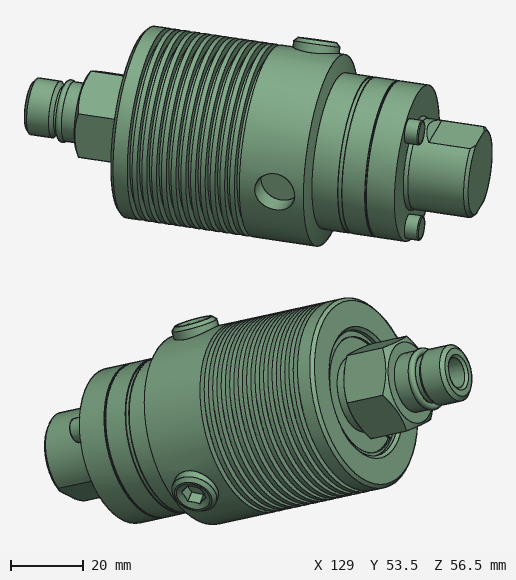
import cadquery as cq
import math


nose_tip_x = -30.5
nose_diameter = 15.84
nose_tip_diameter = 13.5
nose_tip_chamfer = 1.0
thread_end_x = -23.2
relief_start_x = -22.1
relief_diameter = 13.5
seal_center_x = -20.2
seal_center_radius = 7.73
seal_section_diameter = 2.0
collar_diameter = 16.65
hex_front_x = -14.8
hex_rear_x = -0.2
hex_across_flats = 24.0
hex_face_diameter = 22.8
hex_chamfer_angle = 30.0
shaft_diameter = 21.4
bore_diameter = 8.5
bore_mouth_diameter = 10.0

body_diameter = 53.45
body_end_x = 55.6
body_front_chamfer = 0.93
shoulder_length = 1.0
cover_diameter = 43.6
cover_end_x = 80.3
part_end_x = 98.47

first_groove_x = 5.0
groove_count = 12
groove_width = 1.4
groove_pitch = 2.0 * groove_width
groove_bottom_diameter = 48.3

wide_groove_x = 64.0
wide_groove_width = 1.15
seam_groove_x = 71.75
seam_groove_width = 0.4
cover_groove_depth = 0.3

recess_diameter = 35.27
recess_depth = 2.5
recess_chamfer = 0.87
ring_thickness = 0.6
ring_inner_radius = 16.3
ring_inner_offset = 1.0
lug_radius = 2.4
lug_hole_diameter = 2.0
lug_y = -14.77
lug_z = 6.0

port_x = 47.35
port_diameter = 11.45
port_depth = 6.2
port_spacing = 120.0
open_port_angle = 180.0
plug_diameter = 12.9
plug_face_diameter = 10.72
plug_face_radius = 29.53
plug_root_radius = 24.0
socket_across_flats = 6.0
socket_depth = 4.5
dish_mouth_diameter = 9.6
dish_floor_diameter = 6.0
dish_depth = 0.9

outlet_diameter = 25.4
outlet_end_chamfer = 1.0
outlet_root_diameter = 26.4
outlet_root_length = 1.15
outlet_across_flats = 22.0
flat_start_x = 85.6
flat_runout_length = 2.0

screw_count = 3
screw_head_diameter = 6.86
screw_head_height = 3.95
screw_head_chamfer = 0.3
screw_circle_radius = 17.55

cutter_margin = 1.0

cos30 = math.cos(math.radians(30))


def yz_plane(x):
    """Plane square to the axis at x, with local x along +Y and local y along +Z."""
    return cq.Workplane("YZ", origin=(x, 0, 0))


def x_cylinder(start, end, diameter):
    return yz_plane(start).circle(diameter / 2).extrude(end - start)


def ring_cutter(start, width, bottom_diameter, outer_diameter):
    """Square groove cutter that leaves bottom_diameter standing."""
    return (
        yz_plane(start)
        .circle(outer_diameter / 2 + cutter_margin)
        .circle(bottom_diameter / 2)
        .extrude(width)
    )


def make_nose():
    """Threaded nose with its relief, seal bulge and collar, up to the hexagon."""
    nose_r = nose_diameter / 2
    relief_r = relief_diameter / 2
    collar_r = collar_diameter / 2
    seal_r = seal_section_diameter / 2
    seal_start_x = seal_center_x - math.sqrt(seal_r**2 - (seal_center_radius - relief_r) ** 2)
    seal_end_x = seal_center_x + math.sqrt(seal_r**2 - (collar_r - seal_center_radius) ** 2)
    return (
        cq.Workplane("XY")
        .moveTo(nose_tip_x, 0)
        .lineTo(nose_tip_x, nose_tip_diameter / 2)
        .lineTo(nose_tip_x + nose_tip_chamfer, nose_r)
        .lineTo(thread_end_x, nose_r)
        .lineTo(relief_start_x, relief_r)
        .lineTo(seal_start_x, relief_r)
        .threePointArc((seal_center_x, seal_center_radius + seal_r), (seal_end_x, collar_r))
        .lineTo(hex_front_x, collar_r)
        .lineTo(hex_front_x, 0)
        .close()
        .revolve(360, (0, 0, 0), (1, 0, 0))
    )


def make_hexagon():
    """Hexagon with corners pointing along Z, turned down by a cone at both ends."""
    corner_diameter = hex_across_flats / cos30
    prism = (
        yz_plane(hex_front_x)
        .transformed(rotate=(0, 0, 90))
        .polygon(6, corner_diameter)
        .extrude(hex_rear_x - hex_front_x)
    )
    face_r = hex_face_diameter / 2
    outer_r = corner_diameter / 2 + cutter_margin
    cone_length = (outer_r - face_r) * math.tan(math.radians(hex_chamfer_angle))
    turned = (
        cq.Workplane("XY")
        .moveTo(hex_front_x, 0)
        .lineTo(hex_front_x, face_r)
        .lineTo(hex_front_x + cone_length, outer_r)
        .lineTo(hex_rear_x - cone_length, outer_r)
        .lineTo(hex_rear_x, face_r)
        .lineTo(hex_rear_x, 0)
        .close()
        .revolve(360, (0, 0, 0), (1, 0, 0))
    )
    return prism.intersect(turned)


def make_rotor():
    shaft = x_cylinder(hex_rear_x, recess_depth, shaft_diameter)
    bore = x_cylinder(nose_tip_x, recess_depth, bore_diameter)
    mouth_depth = (bore_mouth_diameter - bore_diameter) / 2
    mouth = (
        yz_plane(nose_tip_x)
        .circle(bore_mouth_diameter / 2)
        .workplane(offset=mouth_depth)
        .circle(bore_diameter / 2)
        .loft()
    )
    return make_nose().union(make_hexagon()).union(shaft).cut(bore).cut(mouth)


def make_housing_blank():
    """Turned outline of body, cover and outlet."""
    body_r = body_diameter / 2
    cover_r = cover_diameter / 2
    outlet_r = outlet_diameter / 2
    return (
        cq.Workplane("XY")
        .lineTo(0, body_r - body_front_chamfer)
        .lineTo(body_front_chamfer, body_r)
        .lineTo(body_end_x, body_r)
        .lineTo(body_end_x + shoulder_length, cover_r)
        .lineTo(cover_end_x, cover_r)
        .lineTo(cover_end_x, outlet_root_diameter / 2)
        .lineTo(cover_end_x + outlet_root_length, outlet_r)
        .lineTo(part_end_x - outlet_end_chamfer, outlet_r)
        .lineTo(part_end_x, outlet_r - outlet_end_chamfer)
        .lineTo(part_end_x, 0)
        .close()
        .revolve(360, (0, 0, 0), (1, 0, 0))
    )


def cut_grooves(housing):
    for index in range(groove_count):
        start = first_groove_x + index * groove_pitch
        housing = housing.cut(ring_cutter(start, groove_width, groove_bottom_diameter, body_diameter))
    cover_groove_bottom = cover_diameter - 2 * cover_groove_depth
    for start, width in ((wide_groove_x, wide_groove_width), (seam_groove_x, seam_groove_width)):
        housing = housing.cut(ring_cutter(start, width, cover_groove_bottom, cover_diameter))
    return housing


def make_recess_cutter():
    recess_r = recess_diameter / 2
    return (
        cq.Workplane("XY")
        .lineTo(0, recess_r + recess_chamfer)
        .lineTo(recess_chamfer, recess_r)
        .lineTo(recess_depth, recess_r)
        .lineTo(recess_depth, 0)
        .close()
        .revolve(360, (0, 0, 0), (1, 0, 0))
    )


def make_retaining_ring():
    """Ring of varying width on the recess floor, open between two lugs with pin holes."""
    plane = yz_plane(recess_depth - ring_thickness)
    disc = plane.circle(recess_diameter / 2).extrude(ring_thickness)
    opening = plane.center(-ring_inner_offset, 0).circle(ring_inner_radius).extrude(ring_thickness)
    gap = plane.center(-recess_diameter / 2, 0).rect(recess_diameter, 2 * lug_z).extrude(ring_thickness)
    lug_centers = [(lug_y, lug_z), (lug_y, -lug_z)]
    lugs = plane.pushPoints(lug_centers).circle(lug_radius).extrude(ring_thickness)
    holes = plane.pushPoints(lug_centers).circle(lug_hole_diameter / 2).extrude(ring_thickness)
    return disc.cut(opening).cut(gap).union(lugs.intersect(disc)).cut(holes)


def radial_plane(angle, radius):
    """Plane at the port position facing outward, angle measured from +Y toward +Z."""
    out_y = math.cos(math.radians(angle))
    out_z = math.sin(math.radians(angle))
    return cq.Plane(
        origin=(port_x, radius * out_y, radius * out_z),
        xDir=(1, 0, 0),
        normal=(0, out_y, out_z),
    )


def make_plug(angle):
    face_chamfer = (plug_diameter - plug_face_diameter) / 2
    return (
        cq.Workplane(radial_plane(angle, plug_root_radius))
        .circle(plug_diameter / 2)
        .extrude(plug_face_radius - plug_root_radius)
        .faces(cq.selectors.DirectionMinMaxSelector(radial_plane(angle, 0).zDir))
        .chamfer(face_chamfer)
    )


def make_socket(angle):
    return (
        cq.Workplane(radial_plane(angle, plug_face_radius))
        .transformed(rotate=(0, 0, 90))
        .polygon(6, socket_across_flats / cos30)
        .extrude(-socket_depth)
    )


def make_dish(angle):
    """Conical dish around the socket in the plug face."""
    return (
        cq.Workplane(radial_plane(angle, plug_face_radius - dish_depth))
        .circle(dish_floor_diameter / 2)
        .workplane(offset=dish_depth)
        .circle(dish_mouth_diameter / 2)
        .loft()
    )


def add_ports(housing):
    open_port = (
        cq.Workplane(radial_plane(open_port_angle, body_diameter / 2))
        .circle(port_diameter / 2)
        .extrude(-port_depth)
    )
    housing = housing.cut(open_port)
    for side in (-1, 1):
        angle = open_port_angle + side * port_spacing
        plug = make_plug(angle).cut(make_dish(angle))
        housing = housing.union(plug).cut(make_socket(angle))
    return housing


def make_flat_cutter():
    """Cutter with a sloped run-out for the upper flat of the outlet."""
    flat_z = outlet_across_flats / 2
    outlet_r = outlet_diameter / 2
    top_z = outlet_r + cutter_margin
    return (
        cq.Workplane("XZ")
        .moveTo(flat_start_x, flat_z)
        .lineTo(part_end_x, flat_z)
        .lineTo(part_end_x, top_z)
        .lineTo(flat_start_x - flat_runout_length, top_z)
        .lineTo(flat_start_x - flat_runout_length, outlet_r)
        .close()
        .extrude(outlet_r, both=True)
    )


def make_screw_heads():
    return (
        yz_plane(cover_end_x)
        .polarArray(screw_circle_radius, 0, 360, screw_count)
        .circle(screw_head_diameter / 2)
        .extrude(screw_head_height)
        .faces(">X")
        .chamfer(screw_head_chamfer)
    )


def make_housing():
    housing = cut_grooves(make_housing_blank())
    housing = housing.cut(make_recess_cutter()).union(make_retaining_ring())
    housing = add_ports(housing)
    upper_flat = make_flat_cutter()
    housing = housing.cut(upper_flat).cut(upper_flat.mirror("XY"))
    return housing.union(make_screw_heads())


rotor = make_rotor()
housing = make_housing()

result = cq.Compound.makeCompound([rotor.val(), housing.val()])